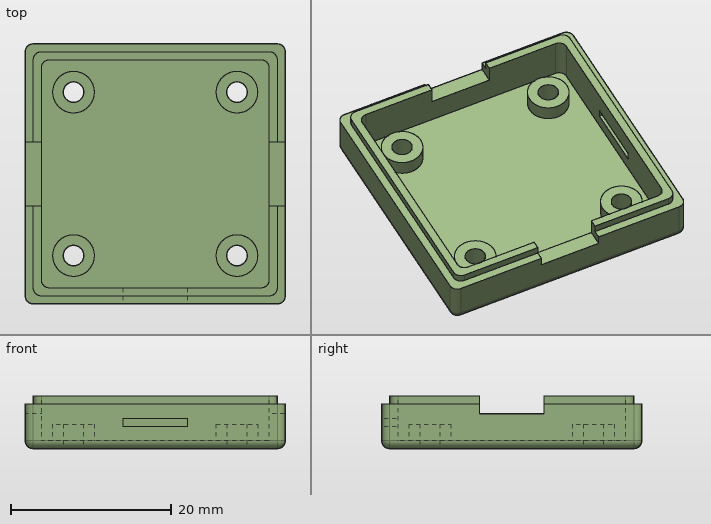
import cadquery as cq

side = 32.5
height = 6.6
floor_thickness = 1.0
edge_radius = 1.0

rim_height = 1.0
rim_setback = 1.0
wall_thickness = 2.0
rim_corner_radius = 1.0
cavity_corner_radius = 1.0

boss_diameter = 5.2
boss_height = 2.0
hole_diameter = 2.55
boss_spacing = 20.4

opening_width = 8.0
notch_depth = 2.2
slot_height = 1.0
slot_bottom = 2.8

body_height = height - rim_height
rim_side = side - 2 * rim_setback
cavity_side = side - 2 * wall_thickness


def rounded_block(width, bottom, top, corner_radius):
    """Square block with rounded vertical edges between two heights."""
    block = cq.Workplane("XY").workplane(offset=bottom).rect(width, width).extrude(top - bottom)
    return block.edges("|Z").fillet(corner_radius)


def at_bosses(bottom):
    """Workplane at the given height with a point on each boss axis."""
    plane = cq.Workplane("XY").workplane(offset=bottom)
    return plane.rect(boss_spacing, boss_spacing, forConstruction=True).vertices()


body = rounded_block(side, 0, body_height, edge_radius).faces("<Z").edges().fillet(edge_radius)
rim = rounded_block(rim_side, floor_thickness, height, rim_corner_radius)
cavity = rounded_block(cavity_side, floor_thickness, height, cavity_corner_radius)
tray = body.union(rim).cut(cavity)

bosses = at_bosses(floor_thickness).circle(boss_diameter / 2).extrude(boss_height)
holes = at_bosses(0).circle(hole_diameter / 2).extrude(height)
tray = tray.union(bosses).cut(holes)

notch = cq.Workplane("XY").box(side, opening_width, notch_depth, centered=(True, True, False))
tray = tray.cut(notch.translate((0, 0, height - notch_depth)))

slot = cq.Workplane("XY").box(opening_width, wall_thickness, slot_height, centered=(True, False, False))
result = tray.cut(slot.translate((0, -side / 2, slot_bottom)))